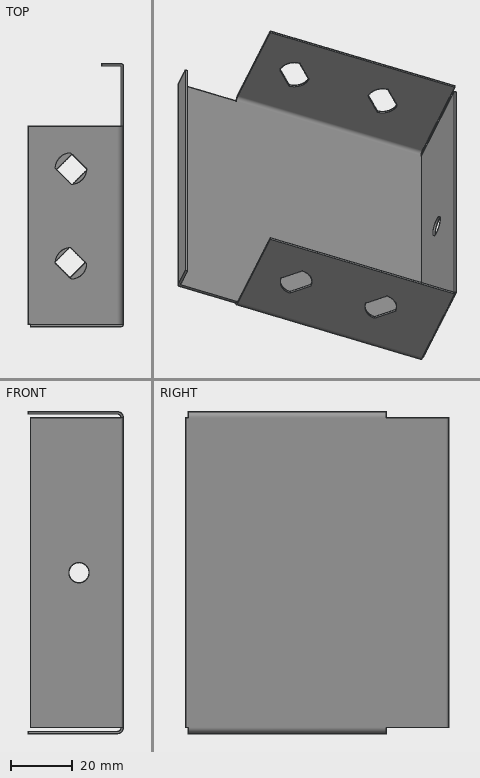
import cadquery as cq

thickness = 0.8
height = 104.0
length = 85.0

flange_depth = 30.8
flange_width = 64.0
flange_start = thickness
outer_radius = 2.0
inner_radius = outer_radius - thickness

web_height = height - 2 * outer_radius
front_depth = 30.1
lip_depth = 7.1
corner_radius = thickness

hole_diameter = 6.5
hole_x = -14.4

flat_hole_width = 7.0
flat_hole_diameter = 10.2
flat_hole_x = -17.0
flat_hole_middle_y = 35.8
top_hole_spacing = 30.6
bottom_hole_spacing = 29.3
top_flat_angle = -45
bottom_flat_angle = 45


def make_walls():
    """Web with the front wall and the back lip, extruded along Z from one section."""
    section = (
        cq.Workplane("XY", origin=(0, 0, -web_height / 2))
        .moveTo(-front_depth, 0)
        .lineTo(-corner_radius, 0)
        .radiusArc((0, corner_radius), -corner_radius)
        .lineTo(0, length - corner_radius)
        .radiusArc((-corner_radius, length), -corner_radius)
        .lineTo(-lip_depth, length)
        .lineTo(-lip_depth, length - thickness)
        .lineTo(-thickness, length - thickness)
        .lineTo(-thickness, thickness)
        .lineTo(-front_depth, thickness)
        .close()
    )
    return section.extrude(web_height)


def make_top_flange():
    """Flange with its rounded bend, rising from the top edge of the web."""
    bend_z = web_height / 2
    top_z = height / 2
    section = (
        cq.Workplane("XZ", origin=(0, flange_start, 0))
        .moveTo(0, bend_z)
        .radiusArc((-outer_radius, top_z), -outer_radius)
        .lineTo(-flange_depth, top_z)
        .lineTo(-flange_depth, top_z - thickness)
        .lineTo(-outer_radius, top_z - thickness)
        .radiusArc((-thickness, bend_z), inner_radius)
        .close()
    )
    return section.extrude(-flange_width)


def hole_cutters(base_z, spacing, angle):
    """Pair of flat-sided holes that pass through the flange whose lower face is at base_z."""
    half_spacing = spacing / 2
    centers = [(0, -half_spacing), (0, half_spacing)]
    plane = cq.Workplane("XY", origin=(flat_hole_x, flat_hole_middle_y, base_z))
    flats = cq.Sketch().rect(flat_hole_diameter, flat_hole_width, angle=angle)
    discs = plane.pushPoints(centers).circle(flat_hole_diameter / 2).extrude(thickness)
    bars = plane.pushPoints(centers).placeSketch(flats).extrude(thickness)
    return discs.intersect(bars)


top_flange = make_top_flange()
bottom_flange = top_flange.mirror("XY")
bracket = make_walls().union(top_flange).union(bottom_flange)

bracket = bracket.cut(hole_cutters(height / 2 - thickness, top_hole_spacing, top_flat_angle))
bracket = bracket.cut(hole_cutters(-height / 2, bottom_hole_spacing, bottom_flat_angle))

front_hole = (
    cq.Workplane("XZ", origin=(hole_x, 0, 0))
    .circle(hole_diameter / 2)
    .extrude(-thickness)
)
result = bracket.cut(front_hole)